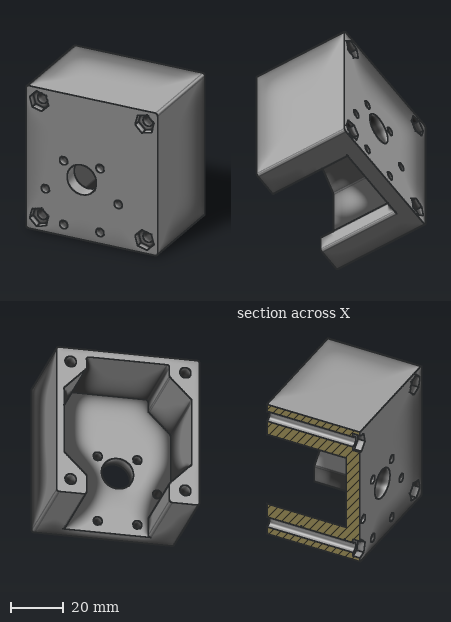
import cadquery as cq

width = 56.0
depth = 40.0
height = 60.0
edge_radius = 1.0
plate_thickness = 6.0
wall = 3.0

screw_x = 22.45
screw_z = 24.4
screw_diameter = 4.3
nut_across_corners = 8.35
nut_depth = 3.0
nut_turn = 45.0

pad_inner_x = 16.2
pad_inner_z = 22.15

shaft_x = -4.25
shaft_z = -4.8
shaft_diameter = 12.5
motor_z = -11.8
motor_bolt_circle = 31.0
motor_bolt_count = 6
motor_bolt_diameter = 3.4

front_y = -depth / 2
back_y = depth / 2
plate_back_y = front_y + plate_thickness


def on_plane(y):
    """Sketch plane at the given Y with local axes +X and +Z; it extrudes toward -Y."""
    return cq.Workplane("XZ", origin=(0, y, 0))


def make_plate():
    plate = on_plane(plate_back_y).rect(width, height).extrude(plate_thickness)
    return plate.edges("|Y").fillet(edge_radius)


def make_walls():
    """Side and top walls with four corner pads, open at the bottom and the back."""
    outer_x = width / 2
    outer_z = height / 2
    wall_x = outer_x - wall
    wall_z = outer_z - wall
    pad_end_z = pad_inner_z - (wall_x - pad_inner_x)
    right_half = [
        (outer_x, outer_z),
        (outer_x, -outer_z),
        (pad_inner_x, -outer_z),
        (pad_inner_x, -pad_inner_z),
        (wall_x, -pad_end_z),
        (wall_x, pad_end_z),
        (pad_inner_x, pad_inner_z),
        (pad_inner_x, wall_z),
    ]
    left_half = [(-x, z) for x, z in reversed(right_half)]
    profile = on_plane(back_y).polyline(right_half + left_half).close()
    return profile.extrude(depth).edges("|Y").fillet(edge_radius)


def make_nut_pocket(side_x, side_z):
    """Nut pocket in one corner, turned so that two flats face along the corner diagonal."""
    turn = side_x * side_z * nut_turn
    return (
        cq.Workplane("XZ")
        .polygon(6, nut_across_corners)
        .extrude(-nut_depth)
        .rotate((0, 0, 0), (0, 1, 0), turn)
        .translate((side_x * screw_x, front_y, side_z * screw_z))
    )


result = make_plate().union(make_walls())

screw_holes = on_plane(back_y).rect(2 * screw_x, 2 * screw_z, forConstruction=True).vertices()
result = result.cut(screw_holes.circle(screw_diameter / 2).extrude(depth))
for side_x in (-1, 1):
    for side_z in (-1, 1):
        result = result.cut(make_nut_pocket(side_x, side_z))

shaft_bore = on_plane(plate_back_y).center(shaft_x, shaft_z).circle(shaft_diameter / 2)
result = result.cut(shaft_bore.extrude(plate_thickness))
motor_bolts = (
    on_plane(plate_back_y)
    .center(shaft_x, motor_z)
    .polarArray(motor_bolt_circle / 2, 0, 360, motor_bolt_count)
    .circle(motor_bolt_diameter / 2)
)
result = result.cut(motor_bolts.extrude(plate_thickness))